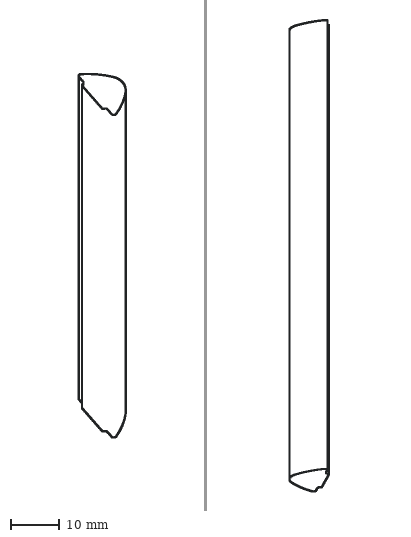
import cadquery as cq
import math

length = 100.0
width = 13.5
depth = 7.6

crown_half_width = 2.5
crown_height = 0.9

wing_underside = 0.8
tip_radius = 0.55
tip_normal_angle = math.radians(27)

foot_half_width = 4.1
foot_edge_radius = 0.3
foot_root_radius = wing_underside - foot_edge_radius

half_width = width / 2
tip_x = half_width - tip_radius
tip_y = wing_underside + tip_radius
flank_end = (
    tip_x + tip_radius * math.cos(tip_normal_angle),
    tip_y + tip_radius * math.sin(tip_normal_angle),
)
crown_end = (crown_half_width, depth - crown_height)


crown_radius = (crown_half_width**2 + crown_height**2) / (2 * crown_height)
crown_half_angle = math.asin(crown_half_width / crown_radius)
crown_mid = (
    crown_radius * math.sin(crown_half_angle / 2),
    depth - crown_radius * (1 - math.cos(crown_half_angle / 2)),
)

half_section = (
    cq.Workplane("XY")
    .moveTo(0, depth)
    .threePointArc(crown_mid, crown_end)
    .tangentArcPoint(flank_end, relative=False)
    .threePointArc((half_width, tip_y), (tip_x, wing_underside))
    .lineTo(foot_half_width + foot_root_radius, wing_underside)
    .tangentArcPoint((foot_half_width, foot_edge_radius), relative=False)
    .tangentArcPoint((foot_half_width - foot_edge_radius, 0), relative=False)
    .lineTo(0, 0)
    .close()
)

half_rail = half_section.extrude(length)
result = half_rail.union(half_rail.mirror("YZ")).clean()